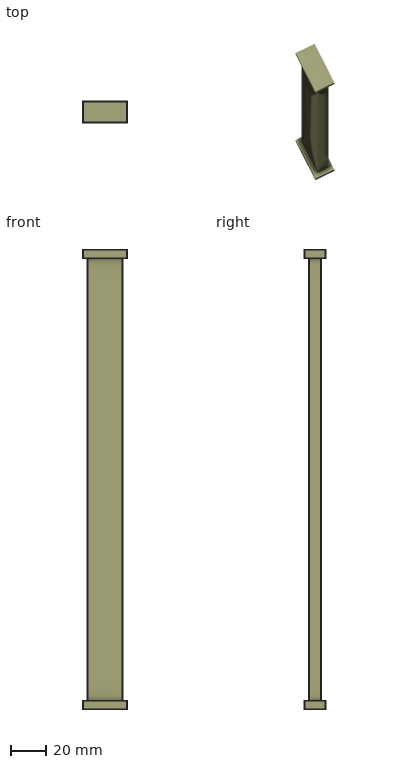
import cadquery as cq

total_length = 260.0
cap_width = 25.0
cap_depth = 12.0

cap_thickness = 5.0
cap_lip = 2.5

bar_width = cap_width - 2 * cap_lip
bar_depth = cap_depth - 2 * cap_lip


def end_cap(center_z):
    """Rectangular plate closing one end of the bar."""
    return cq.Workplane("XY").box(cap_width, cap_depth, cap_thickness).translate((0, 0, center_z))


result = cq.Workplane("XY").box(bar_width, bar_depth, total_length)

cap_center_z = (total_length - cap_thickness) / 2
for side in (-1, 1):
    result = result.union(end_cap(side * cap_center_z))

result = result.clean()